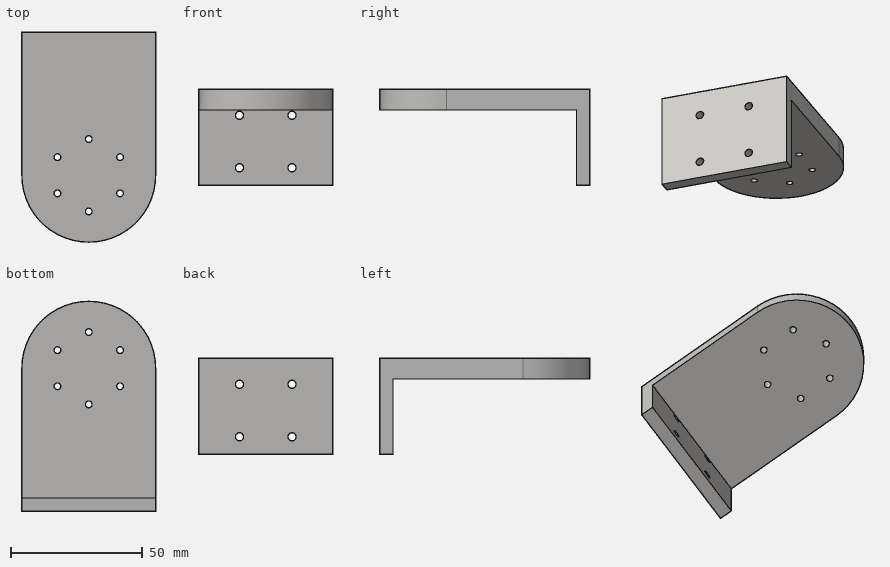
import cadquery as cq

length = 80.0
width = 51.0
height = 36.7

plate_thickness = 8.0
wall_thickness = 5.1
nose_radius = width / 2

ring_hole_count = 6
ring_radius = 13.8
ring_hole_diameter = 2.5

wall_hole_spacing = 20.0
wall_hole_diameter = 3.0
upper_hole_depth = 10.0

back_y = length - nose_radius
wall_pattern_z = height - upper_hole_depth - wall_hole_spacing / 2


def make_plate():
    """Horizontal plate with a half-round front end and a ring of holes."""
    plate = (
        cq.Workplane("XY", origin=(0, 0, height))
        .moveTo(-nose_radius, back_y)
        .lineTo(-nose_radius, 0)
        .threePointArc((0, -nose_radius), (nose_radius, 0))
        .lineTo(nose_radius, back_y)
        .close()
        .extrude(-plate_thickness)
    )
    holes = (
        cq.Workplane("XY", origin=(0, 0, height))
        .polarArray(ring_radius, 90, 360, ring_hole_count)
        .circle(ring_hole_diameter / 2)
        .extrude(-plate_thickness)
    )
    return plate.cut(holes)


def make_wall():
    """Vertical mounting wall at the back with four holes."""
    wall = cq.Workplane("XY").box(width, wall_thickness, height, centered=(True, False, False))
    wall = wall.translate((0, back_y - wall_thickness, 0))
    holes = (
        cq.Workplane("XZ", origin=(0, back_y, wall_pattern_z))
        .rarray(wall_hole_spacing, wall_hole_spacing, 2, 2)
        .circle(wall_hole_diameter / 2)
        .extrude(wall_thickness)
    )
    return wall.cut(holes)


result = make_plate().union(make_wall())